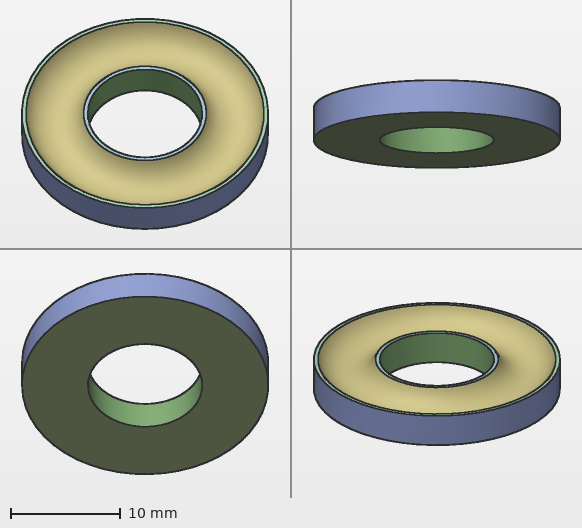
import cadquery as cq

outer_diameter = 22.4
bore_diameter = 10.4
height = 3.0

lip_width = 0.38

groove_depth = 1.8

outer_radius = outer_diameter / 2
bore_radius = bore_diameter / 2
groove_inner_radius = bore_radius + lip_width
groove_outer_radius = outer_radius - lip_width
groove_middle_radius = (groove_inner_radius + groove_outer_radius) / 2

section = (
    cq.Workplane("XZ")
    .moveTo(bore_radius, 0)
    .lineTo(outer_radius, 0)
    .lineTo(outer_radius, height)
    .lineTo(groove_outer_radius, height)
    .threePointArc((groove_middle_radius, height - groove_depth), (groove_inner_radius, height))
    .lineTo(bore_radius, height)
    .close()
)

result = section.revolve(360, (0, 0, 0), (0, 1, 0))